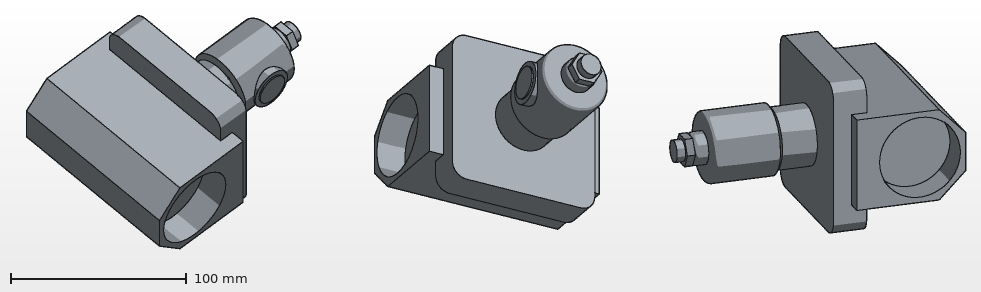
import cadquery as cq
import math

total_depth = 156.8
block_length = 110.0
block_height = 55.2
block_depth = 65.5
block_chamfer = 16.0
port_diameter = 48.6
port_depth = 18.0
port_center_y = block_height / 2

flange_size = 92.0
flange_front_y = 56.5
flange_back_y = 76.5
flange_corner_radius = 9.1

collar_diameter = 36.4
collar_length = 21.0
neck_across_flats = 25.1
neck_length = 2.2
coil_diameter = 42.0
coil_length = 39.2
coil_edge_radius = 2.0
shoulder_diameter = 19.5
shoulder_length = 8.0
shoulder_edge_radius = 2.4
nut_across_flats = 16.8
nut_length = 4.9
tip_diameter = 13.0

boss_diameter = 25.2
boss_reach = 22.0
boss_cap_diameter = 19.1
boss_cap_reach = 22.9
boss_center_y = 118.9

neck_y = flange_back_y + collar_length
coil_y = neck_y + neck_length
shoulder_y = coil_y + coil_length
nut_y = shoulder_y + shoulder_length
tip_y = nut_y + nut_length


def plane_facing_rear(y):
    """Sketch plane at position y on the solenoid axis, with its normal along +Y."""
    return cq.Workplane(cq.Plane(origin=(0, y, 0), xDir=(1, 0, 0), normal=(0, 1, 0)))


def cylinder_step(diameter, start_y, length):
    return plane_facing_rear(start_y).circle(diameter / 2).extrude(length)


def hexagon_step(across_flats, start_y, length):
    """Hexagonal prism with two of its corners on the X axis."""
    across_corners = across_flats / math.cos(math.pi / 6)
    return plane_facing_rear(start_y).polygon(6, across_corners).extrude(length)


def cylinder_along_x(diameter, start_x, center_y, length):
    section = cq.Workplane("YZ", origin=(start_x, center_y, 0))
    return section.circle(diameter / 2).extrude(length)


def make_valve_block():
    bar = cq.Workplane("XY").box(block_length, block_depth, block_height)
    bar = bar.translate((0, block_depth / 2, 0))
    bar = bar.edges("|X and <Y").chamfer(block_chamfer)

    flange = plane_facing_rear(flange_front_y).rect(flange_size, flange_size)
    flange = flange.extrude(flange_back_y - flange_front_y)
    flange = flange.edges("|Y").fillet(flange_corner_radius)
    body = bar.union(flange)

    for port_start_x in (-block_length / 2, block_length / 2 - port_depth):
        body = body.cut(cylinder_along_x(port_diameter, port_start_x, port_center_y, port_depth))
    return body


def make_solenoid():
    collar = cylinder_step(collar_diameter, flange_back_y, collar_length)
    neck = hexagon_step(neck_across_flats, neck_y, neck_length)
    coil = cylinder_step(coil_diameter, coil_y, coil_length)
    coil = coil.faces(">Y").edges().fillet(coil_edge_radius)
    shoulder = cylinder_step(shoulder_diameter, shoulder_y, shoulder_length)
    shoulder = shoulder.faces(">Y").edges().fillet(shoulder_edge_radius)
    nut = hexagon_step(nut_across_flats, nut_y, nut_length)
    tip = cylinder_step(tip_diameter, tip_y, total_depth - tip_y)

    boss = cylinder_along_x(boss_diameter, 0, boss_center_y, boss_reach)
    boss_cap = cylinder_along_x(boss_cap_diameter, 0, boss_center_y, boss_cap_reach)

    solenoid = collar
    for step in (neck, coil, shoulder, nut, tip, boss, boss_cap):
        solenoid = solenoid.union(step)
    return solenoid


valve_block = make_valve_block()
solenoid = make_solenoid()

result = cq.Compound.makeCompound([valve_block.val(), solenoid.val()])